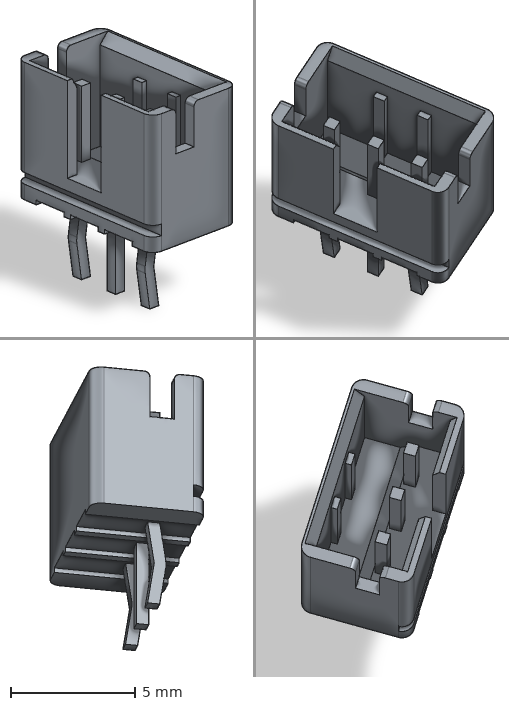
import cadquery as cq
import math

total_height = 9.45
width = 8.0
depth = 4.7
housing_bottom = 3.4
corner_radius = 0.5
back = depth / 2
front = -depth / 2

end_wall = 0.52
long_wall = 0.55
sill_height = 5.16
rear_floor = 4.51
ramp_front = -0.255
ramp_back = 0.3
lead_in_depth = 0.48
front_lead_in = 0.28
back_lead_in = 0.425
cavity_width = width - 2 * end_wall
cavity_front = front + long_wall
cavity_back = back - long_wall

window_width = 1.98
slot_width = 1.0
slot_floor = 7.45
slot_rounding = 0.25
slot_center = front + 1.8
groove_bottom = 4.09
groove_height = 0.51

pitch = 2.0
pin_size = 0.5
pin_center = front + 1.75
pin_top = 8.505
foot_height = 0.2
notch_width = 1.63
notch_ceiling = housing_bottom + foot_height
kink_offset = 0.27
kink_outer_radius = 1.0
rib_top = 8.27
rib_depth = 0.26


def block(x_center, x_size, y_min, y_max, z_min, z_max):
    """Upright box centred on x_center."""
    size = (x_size, y_max - y_min, z_max - z_min)
    return cq.Workplane("XY").box(*size, centered=(True, False, False)).translate((x_center, y_min, z_min))


def side_profile(points, x_center, x_size):
    """Closed Y-Z outline extruded along X about x_center."""
    plane = cq.Workplane("YZ", origin=(x_center, 0, 0))
    return plane.polyline(points).close().extrude(x_size / 2, both=True)


def make_cavity():
    """Open-topped cavity with a ramped floor and lead-in bevels on the long walls."""
    lead_in_start = total_height - lead_in_depth
    outline = [
        (cavity_front, sill_height),
        (ramp_front, sill_height),
        (ramp_back, rear_floor),
        (cavity_back, rear_floor),
        (cavity_back, lead_in_start),
        (cavity_back + back_lead_in, total_height),
        (cavity_front - front_lead_in, total_height),
        (cavity_front, lead_in_start),
    ]
    return side_profile(outline, 0, cavity_width)


def make_end_slots():
    """Slots through both end walls, flared by rounded upper edges."""
    half = slot_width / 2
    flare = half + slot_rounding
    shoulder = total_height - slot_rounding
    arc_rise = slot_rounding * math.sqrt(0.5)
    return (
        cq.Workplane("YZ", origin=(0, slot_center, 0))
        .moveTo(-half, slot_floor)
        .lineTo(half, slot_floor)
        .lineTo(half, shoulder)
        .threePointArc((flare - arc_rise, shoulder + arc_rise), (flare, total_height))
        .lineTo(-flare, total_height)
        .threePointArc((arc_rise - flare, shoulder + arc_rise), (-half, shoulder))
        .close()
        .extrude(width / 2, both=True)
    )


def make_housing():
    body = block(0, width, front, back, housing_bottom, total_height)
    body = body.edges("|Z").fillet(corner_radius)
    body = body.cut(make_cavity()).cut(make_end_slots())
    window = block(0, window_width, front, cavity_front, sill_height, total_height)
    groove = block(0, width, front, front + corner_radius, groove_bottom, groove_bottom + groove_height)
    body = body.cut(window).cut(groove)
    for x in (-pitch, 0, pitch):
        body = body.cut(block(x, notch_width, front, back, housing_bottom, notch_ceiling))
    for x in (-pitch / 2, pitch / 2):
        body = body.union(block(x, pin_size, cavity_back - rib_depth, back - long_wall / 2, rear_floor, rib_top))
    return body


def make_kinked_leg(x):
    """Solder leg bowed toward the front, rounded on the outside of the bend."""
    leg_back = pin_center + pin_size / 2
    leg_front = pin_center - pin_size / 2
    kink_height = notch_ceiling / 2
    outline = [
        (leg_back, 0),
        (leg_back - kink_offset, kink_height),
        (leg_back, notch_ceiling),
        (leg_front, notch_ceiling),
        (leg_front - kink_offset, kink_height),
        (leg_front, 0),
    ]
    leg = side_profile(outline, x, pin_size)
    return leg.edges("|X").edges("<Y").fillet(kink_outer_radius)


def make_pin(x, kinked):
    y_min = pin_center - pin_size / 2
    y_max = pin_center + pin_size / 2
    if not kinked:
        return block(x, pin_size, y_min, y_max, 0, pin_top)
    return block(x, pin_size, y_min, y_max, notch_ceiling, pin_top).union(make_kinked_leg(x))


result = make_housing()
for pin_x in (-pitch, 0, pitch):
    result = result.union(make_pin(pin_x, kinked=pin_x != 0))